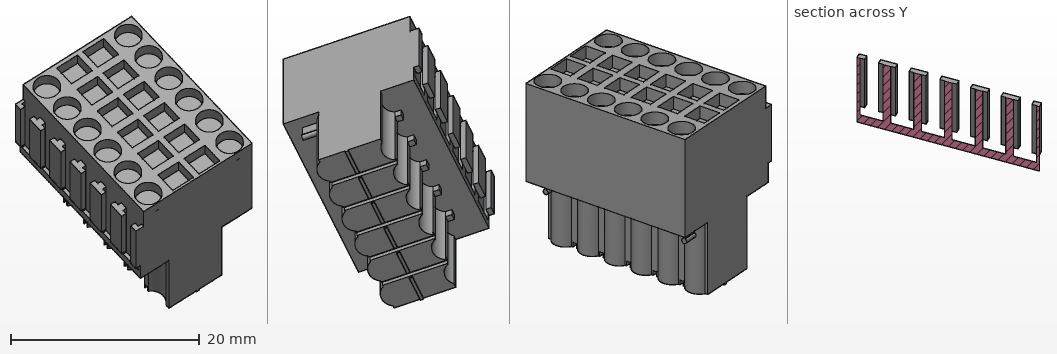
import cadquery as cq
import math


pole_count = 6
pitch = 3.51
pole_xs = [(i - (pole_count - 1) / 2) * pitch for i in range(pole_count)]
gap_xs = [x + pitch / 2 for x in pole_xs[:-1]]

width = 20.9
body_depth = 14.55
body_height = 11.87
body_front = -body_depth / 2

entry_shift = 0.1
entry_depth = 1.5
round_diameter = 2.93
round_row_y = 5.45
square_width = 2.57
square_length = 2.78

shelf_depth = 0.44
shelf_height = 2.32
recess_width = 2.61
recess_depth = 1.17
flange_width = 1.95
flange_depth = 0.6
rib_height = 6.85
rib_neck_width = pitch - recess_width

skirt_height = 8.74
end_wall_front = -3.89
end_wall_back = 3.2
ridge_front = -4.26
lobe_back = 3.97
ridge_width = 0.7
flute_radius = 1.57
flute_half_width = (pitch - ridge_width) / 2
flute_center_y = ridge_front - math.sqrt(flute_radius**2 - flute_half_width**2)

slot_width = 0.44
slot_height = 0.56
bar_depth = 0.38
bar_height = 0.19
post_front = -5.0
post_height = 0.92

key_x = 9.1
key_back = 5.58
key_radius = 0.31
key_drop = 1.6
key_web_width = 0.25


def block(x_center, x_size, y_min, y_max, z_min, z_max):
    """Box centred on x_center and spanning the given Y and Z ranges."""
    corner = cq.Workplane("XY", origin=(x_center, y_min, z_min))
    return corner.box(x_size, y_max - y_min, z_max - z_min, centered=(True, False, False))


def columns(centers, diameter, z_min, height):
    """Upright cylinders at the given XY centres, rising from z_min."""
    base = cq.Workplane("XY", origin=(0, 0, z_min))
    return base.pushPoints(centers).circle(diameter / 2).extrude(height)


def make_body():
    body = block(0, width, body_front, -body_front, 0, body_height)
    entry_xs = [x + entry_shift for x in pole_xs]
    round_centers = [(x, y) for x in entry_xs for y in (-round_row_y, round_row_y)]
    square_centers = [(x, y) for x in entry_xs for y in (-pitch / 2, pitch / 2)]
    floor_z = body_height - entry_depth
    rounds = columns(round_centers, round_diameter, floor_z, entry_depth)
    entry_floor = cq.Workplane("XY", origin=(0, 0, floor_z))
    squares = entry_floor.pushPoints(square_centers).rect(square_width, square_length).extrude(entry_depth)
    return body.cut(rounds).cut(squares)


def make_front_ribs():
    shelf_front = body_front - shelf_depth
    rib_top = shelf_height + rib_height
    ribs = block(0, width, shelf_front, body_front, 0, shelf_height)
    recess_floor = shelf_height - recess_depth
    for x in pole_xs:
        ribs = ribs.cut(block(x, recess_width, shelf_front, body_front, recess_floor, shelf_height))
    for x in [pole_xs[0] - pitch / 2] + gap_xs + [pole_xs[-1] + pitch / 2]:
        neck = block(x, rib_neck_width, shelf_front, body_front, shelf_height, rib_top)
        flange = block(x, flange_width, shelf_front - flange_depth, shelf_front, shelf_height, rib_top)
        ribs = ribs.union(neck).union(flange)
    return ribs.intersect(block(0, width, shelf_front - flange_depth, body_front, 0, rib_top))


def make_skirt():
    skirt = block(0, width, end_wall_front, end_wall_back, -skirt_height, 0)
    ridged_width = pole_xs[-1] - pole_xs[0]
    skirt = skirt.union(block(0, ridged_width, ridge_front, end_wall_front, -skirt_height, 0))
    flute_centers = [(x, flute_center_y) for x in pole_xs]
    lobe_centers = [(x, lobe_back - flute_radius) for x in pole_xs]
    flutes = columns(flute_centers, 2 * flute_radius, -skirt_height, skirt_height)
    lobes = columns(lobe_centers, 2 * flute_radius, -skirt_height, skirt_height)
    skirt = skirt.cut(flutes).union(lobes)

    bar_bottom = -skirt_height - bar_height
    skirt = skirt.union(block(0, width, -bar_depth / 2, bar_depth / 2, bar_bottom, -skirt_height))
    for x in gap_xs:
        bar_gap = block(x, ridge_width, -bar_depth / 2, bar_depth / 2, bar_bottom, -skirt_height)
        slot = block(x, slot_width, ridge_front, lobe_back, -skirt_height, -skirt_height + slot_height)
        post = block(x, ridge_width, post_front, ridge_front, -post_height, 0)
        skirt = skirt.cut(bar_gap).cut(slot).union(post)
    return skirt


def make_key(x):
    web = block(x, key_web_width, end_wall_back, key_back, -key_drop, 0)
    rod = (
        cq.Workplane("XZ", origin=(x, key_back, -key_drop))
        .circle(key_radius)
        .extrude(key_back - end_wall_back)
    )
    return web.union(rod)


result = make_body().union(make_front_ribs()).union(make_skirt())
for x in (-key_x, key_x):
    result = result.union(make_key(x))